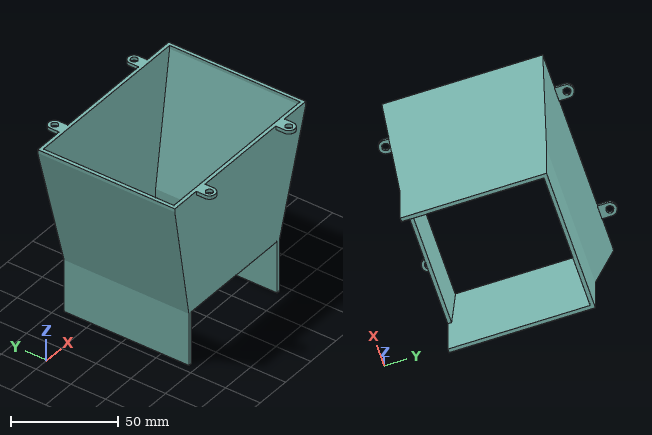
import cadquery as cq

wall = 2.0
total_height = 102.0
skirt_height = 30.0
rim_length = 104.0
rim_width = 79.0
neck_side = 72.0
ear_span = 96.0
ear_diameter = 7.0
ear_hole_diameter = 3.6
ear_spacing = 63.0

rim_bottom = total_height - wall
funnel_height = rim_bottom - skirt_height
ear_radius = ear_diameter / 2
ear_x = ear_spacing / 2
ear_y = ear_span / 2 - ear_radius
rim_edge_y = rim_width / 2 - wall


def block(length, width, height, bottom):
    """Box centred on the Z axis and standing on the given level."""
    return cq.Workplane("XY").workplane(offset=bottom).rect(length, width).extrude(height)


def taper(inset):
    """Tapered funnel body, moved inward by the inset on every side."""
    return (
        cq.Workplane("XY")
        .workplane(offset=skirt_height)
        .rect(neck_side - 2 * inset, neck_side - 2 * inset)
        .workplane(offset=funnel_height)
        .rect(rim_length - 2 * inset, rim_width - 2 * inset)
        .loft(ruled=True, combine=True)
    )


def ear(x, side):
    """Round-ended mounting ear with a screw hole; side is +1 or -1 along Y."""
    plane = cq.Workplane("XY").workplane(offset=rim_bottom)
    arm_length = ear_y - rim_edge_y
    arm_center = side * (ear_y + rim_edge_y) / 2
    arm = plane.center(x, arm_center).rect(ear_diameter, arm_length).extrude(wall)
    tip = plane.center(x, side * ear_y).circle(ear_radius).extrude(wall)
    hole = plane.center(x, side * ear_y).circle(ear_hole_diameter / 2).extrude(wall)
    return arm.union(tip).cut(hole)


rim_opening = block(rim_length - 2 * wall, rim_width - 2 * wall, wall, rim_bottom)
rim = block(rim_length, rim_width, wall, rim_bottom).cut(rim_opening)
funnel = taper(0).cut(taper(wall))

skirt_opening = block(neck_side - 2 * wall, neck_side, skirt_height, 0).translate((0, -wall, 0))
skirt = block(neck_side, neck_side, skirt_height, 0).cut(skirt_opening)

result = funnel.union(rim).union(skirt)

for ear_side in (-1, 1):
    for ear_place in (-ear_x, ear_x):
        result = result.union(ear(ear_place, ear_side))